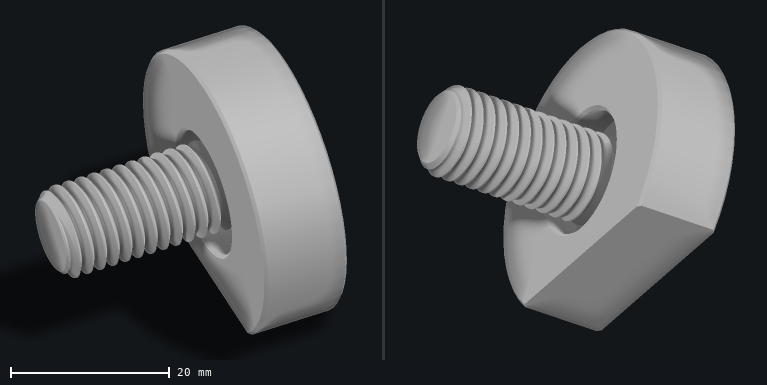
import cadquery as cq
import math

disc_radius = 18.8
disc_thickness = 11.43
flat_distance = 12.7
edge_chamfer = 0.4

bore_radius = 8.22
lip_depth = 2.3
recess_radius = 8.89
hub_depth = 4.75

stud_offset = -1.0
stud_reach = 20.71
thread_radius = 6.0
thread_pitch = 1.75
crest_lead = 0.1
tip_radius = 4.7
ridge_overlap = 0.1
envelope_clearance = 0.2

flank_angle = math.radians(30)
sharp_thread_height = thread_pitch / (2 * math.tan(flank_angle))
core_radius = thread_radius - sharp_thread_height * 17 / 24
crest_half_width = thread_pitch / 16


def cylinder(radius, back_y, front_y):
    """Cylinder on the disc axis between two Y positions."""
    return cq.Workplane("XZ", origin=(0, back_y, 0)).circle(radius).extrude(back_y - front_y)


def make_disc():
    """Chamfered disc with a flat underside and a lipped bore right through."""
    blank = cylinder(disc_radius, disc_thickness, 0).edges().chamfer(edge_chamfer)
    below_flat = cq.Workplane("XY", origin=(0, 0, -flat_distance)).rect(
        2 * disc_radius, 2 * disc_thickness
    ).extrude(flat_distance - disc_radius)
    cut_centre_y = disc_thickness / 2
    body = blank.cut(below_flat.translate((0, cut_centre_y, 0)))
    body = body.cut(cylinder(bore_radius, disc_thickness, 0))
    bore_mouth = cq.selectors.RadiusNthSelector(0)
    body = body.faces("<Y").edges(bore_mouth).chamfer(edge_chamfer)
    return body.cut(cylinder(recess_radius, disc_thickness, lip_depth))


def make_thread_ridge():
    """Right-hand helical ridge about Z, overrunning the shank at both ends."""
    turns_behind = math.ceil(hub_depth / thread_pitch) + 1
    turns_ahead = math.ceil(stud_reach / thread_pitch) + 1
    start_z = crest_lead - turns_behind * thread_pitch
    length = (turns_behind + turns_ahead) * thread_pitch

    foot_radius = core_radius - ridge_overlap
    foot_half_width = crest_half_width + (thread_radius - foot_radius) * math.tan(flank_angle)
    corners = [
        (foot_radius, start_z - foot_half_width),
        (thread_radius, start_z - crest_half_width),
        (thread_radius, start_z + crest_half_width),
        (foot_radius, start_z + foot_half_width),
    ]
    helices = [
        cq.Wire.makeHelix(thread_pitch, length, radius, center=cq.Vector(0, 0, z))
        for radius, z in corners
    ]
    sides = [
        cq.Face.makeRuledSurface(helices[index - 1], helices[index])
        for index in range(len(helices))
    ]
    outline = cq.Wire.makePolygon([cq.Vector(radius, 0, z) for radius, z in corners], close=True)
    first_end = cq.Face.makeFromWires(outline)
    last_end = first_end.translate(cq.Vector(0, 0, length))
    shell = cq.Shell.makeShell([*sides, first_end, last_end])
    return cq.Workplane(cq.Solid.makeSolid(shell))


def make_shank():
    """Threaded shank along Z with a bevelled tip; Z = 0 is level with the disc's front face."""
    base = cq.Workplane("XY", origin=(0, 0, -hub_depth))
    shank_length = hub_depth + stud_reach
    envelope_radius = thread_radius + envelope_clearance
    envelope = base.circle(envelope_radius).extrude(shank_length)
    envelope = envelope.faces(">Z").chamfer(envelope_radius - tip_radius)
    core = base.circle(core_radius).extrude(shank_length).intersect(envelope)
    ridge = make_thread_ridge().intersect(envelope)
    return core.union(ridge)


def make_stud():
    """Eccentric stud: a hub that fills the recess and the offset shank in front of it."""
    hub = cylinder(recess_radius, disc_thickness, hub_depth)
    shank = make_shank().rotate((0, 0, 0), (1, 0, 0), 90)
    return hub.union(shank.translate((stud_offset, 0, 0)))


disc = make_disc()
stud = make_stud()
result = cq.Compound.makeCompound([disc.val(), stud.val()])